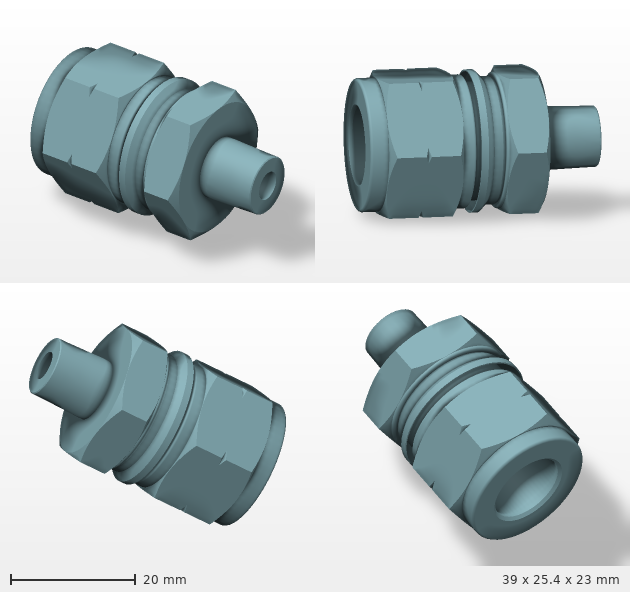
import cadquery as cq
import math

LENGTH = 39.05
HEX_CORNERS = 25.4
HEX_CHAMFER_ANGLE = 30.0
HEX_FACE_DIAMETER = 21.95

COLLAR_DIAMETER = 21.5
NUT_HEX_START = 2.95
NUT_HEX_END = 15.35
NUT_END = 17.35
NUT_FRONT_ROUND = 0.45
NUT_BACK_ROUND = 0.35

NOTCH_DEPTH = 0.7
NOTCH_WIDTH = 0.82

NECK_DIAMETER = 19.05
FLANGE_DIAMETER = 23.0
FLANGE_START = 18.05
FLANGE_RIM_END = 19.2
FLANGE_RIM_WALL = 0.25
SHOULDER_DIAMETER = 20.6
SHOULDER_START = 20.4
SHOULDER_END = 21.8
RELIEF_DIAMETER = 20.15
BODY_HEX_START = 22.25
BODY_HEX_END = 29.35
WASHER_THICKNESS = 0.5
WASHER_ROUND = 0.35

SPIGOT_DIAMETER = 10.27
TAPER_START = 30.6
TAPER_END_DIAMETER = 9.8
SPIGOT_CHAMFER = 0.15

BORE_DIAMETER = 12.2
BORE_MOUTH_DIAMETER = 13.15
BORE_MOUTH_DEPTH = (BORE_MOUTH_DIAMETER - BORE_DIAMETER) / 2
BORE_DEPTH = 22.65
CONE_DIAMETER = 9.5
THROUGH_DIAMETER = 4.8
CONE_HALF_ANGLE = 60.0
CONE_DEPTH = (CONE_DIAMETER - THROUGH_DIAMETER) / 2 / math.tan(math.radians(CONE_HALF_ANGLE))


def revolve_profile(stations):
    """Revolve (x, diameter) stations about the X axis, closing on the axis."""
    start = stations[0][0]
    end = stations[-1][0]
    outline = [(start, 0)] + [(x, diameter / 2) for x, diameter in stations] + [(end, 0)]
    return cq.Workplane("XY").polyline(outline).close().revolve(360, (0, 0, 0), (1, 0, 0))


def cylinder(start, end, diameter):
    return cq.Workplane("YZ", origin=(start, 0, 0)).circle(diameter / 2).extrude(end - start)


def chamfered_hexagon(start, end):
    """Hexagon with corners at +Y and -Y, and its corners turned off at both ends."""
    prism = cq.Workplane("YZ", origin=(start, 0, 0)).polygon(6, HEX_CORNERS).extrude(end - start)
    corner_height = (HEX_CORNERS - HEX_FACE_DIAMETER) / 2
    chamfer = corner_height * math.tan(math.radians(HEX_CHAMFER_ANGLE))
    envelope = revolve_profile([
        (start, HEX_FACE_DIAMETER),
        (start + chamfer, HEX_CORNERS),
        (end - chamfer, HEX_CORNERS),
        (end, HEX_FACE_DIAMETER),
    ])
    return prism.intersect(envelope)


def make_corner_notch():
    middle = (NUT_HEX_START + NUT_HEX_END) / 2
    rim = HEX_CORNERS / 2
    return (
        cq.Workplane("XY")
        .polyline([
            (middle - NOTCH_WIDTH / 2, rim),
            (middle, rim - NOTCH_DEPTH),
            (middle + NOTCH_WIDTH / 2, rim),
        ])
        .close()
        .revolve(360, (0, 0, 0), (1, 0, 0))
    )


def make_nut():
    collars = cylinder(0, NUT_END, COLLAR_DIAMETER)
    collars = collars.faces("<X").edges().fillet(NUT_FRONT_ROUND)
    collars = collars.faces(">X").edges().fillet(NUT_BACK_ROUND)
    hexagon = chamfered_hexagon(NUT_HEX_START, NUT_HEX_END).cut(make_corner_notch())
    return collars.union(hexagon)


def make_flange_hollow():
    """Ring-shaped hollow around the neck, its floor parallel to the sloping back of the flange."""
    hollow_diameter = FLANGE_DIAMETER - 2 * FLANGE_RIM_WALL
    slope = (SHOULDER_START - FLANGE_RIM_END) / (FLANGE_DIAMETER - SHOULDER_DIAMETER)
    floor_end = FLANGE_RIM_END + slope * (hollow_diameter - NECK_DIAMETER)
    cup = revolve_profile([
        (FLANGE_START, hollow_diameter),
        (FLANGE_RIM_END, hollow_diameter),
        (floor_end, NECK_DIAMETER),
    ])
    return cup.cut(cylinder(FLANGE_START, floor_end, NECK_DIAMETER))


def make_body():
    flange = revolve_profile([
        (NUT_END, NECK_DIAMETER),
        (FLANGE_START, NECK_DIAMETER),
        (FLANGE_START, FLANGE_DIAMETER),
        (FLANGE_RIM_END, FLANGE_DIAMETER),
        (SHOULDER_START, SHOULDER_DIAMETER),
        (SHOULDER_END, SHOULDER_DIAMETER),
        (BODY_HEX_START, RELIEF_DIAMETER),
    ])
    hex_face = BODY_HEX_START + WASHER_THICKNESS
    washer = cylinder(BODY_HEX_START, hex_face, HEX_FACE_DIAMETER)
    washer = washer.faces("<X").edges().fillet(WASHER_ROUND)
    hexagon = chamfered_hexagon(hex_face, BODY_HEX_END)
    return flange.cut(make_flange_hollow()).union(washer).union(hexagon)


def make_spigot():
    spigot = revolve_profile([
        (BODY_HEX_END, SPIGOT_DIAMETER),
        (TAPER_START, SPIGOT_DIAMETER),
        (LENGTH, TAPER_END_DIAMETER),
    ])
    return spigot.faces(">X").edges().chamfer(SPIGOT_CHAMFER)


def make_bore():
    return revolve_profile([
        (0, BORE_MOUTH_DIAMETER),
        (BORE_MOUTH_DEPTH, BORE_DIAMETER),
        (BORE_DEPTH, BORE_DIAMETER),
        (BORE_DEPTH, CONE_DIAMETER),
        (BORE_DEPTH + CONE_DEPTH, THROUGH_DIAMETER),
        (LENGTH, THROUGH_DIAMETER),
    ])


result = make_nut().union(make_body()).union(make_spigot()).cut(make_bore())